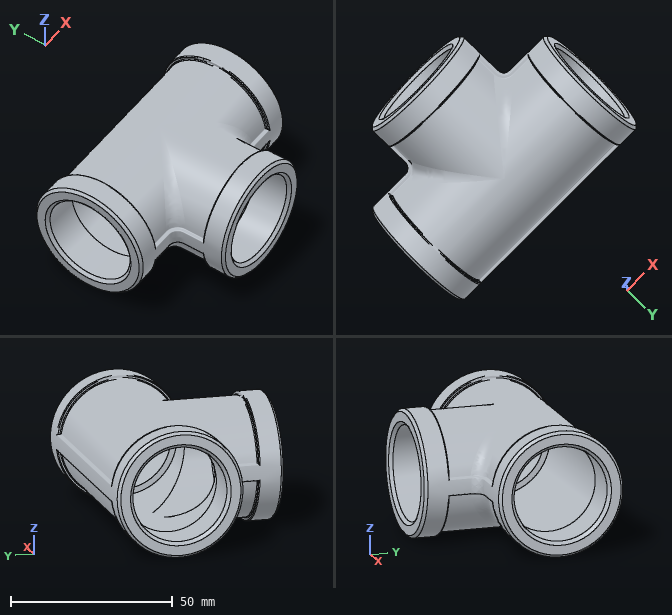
import cadquery as cq
import math

run_length = 77.0
branch_reach = 38.5

collar_diameter = 40.5
collar_length = 8.0
body_diameter = 38.0
end_chamfer = 0.9
rib_width = 5.2
rib_corner_radius = 3.15
step_fillet = 0.3

bore_diameter = 30.25
bore_depth = 12.9
bore_chamfer = 1.1
chamber_diameter = 34.2

collar_radius = collar_diameter / 2
body_radius = body_diameter / 2
half_run = run_length / 2
body_corner_radius = rib_corner_radius + collar_radius - body_radius

tolerance = 0.001


def tee(radius, end_gap=0.0):
    """Run and branch cylinders of one radius, stopping end_gap short of the three ends."""
    run = cq.Workplane("YZ").circle(radius).extrude(half_run - end_gap, both=True)
    branch = cq.Workplane("XZ").circle(radius).extrude(branch_reach - end_gap)
    return run.union(branch)


def rounded_tee(radius, corner_radius):
    """Tee with the curves where its two cylinders meet rounded."""
    blank = tee(radius)
    corners = [edge for edge in blank.edges().vals() if edge.geomType() == "ELLIPSE"]
    return blank.newObject(corners).fillet(corner_radius)


def raised_zone():
    """Space where the outside keeps the collar radius: three collars and the mid-plane rib."""
    zone = cq.Workplane("XY").box(run_length, 2 * branch_reach, rib_width)
    run_collar = cq.Workplane("XY").box(collar_length, collar_diameter, collar_diameter)
    for side in (-1, 1):
        zone = zone.union(run_collar.translate((side * (half_run - collar_length / 2), 0, 0)))
    branch_collar = cq.Workplane("XY").box(collar_diameter, collar_length, collar_diameter)
    return zone.union(branch_collar.translate((0, collar_length / 2 - branch_reach, 0)))


def near(value, target):
    """True when two lengths are equal to within the tolerance."""
    return abs(value - target) < tolerance


def on_step_wall(point):
    """True on the rib sides and on the inner ends of the collars."""
    on_rib_side = near(abs(point.z), rib_width / 2)
    on_run_collar = near(abs(point.x), half_run - collar_length)
    on_branch_collar = near(point.y, collar_length - branch_reach)
    return on_rib_side or on_run_collar or on_branch_collar


def on_cylinder(point, radius):
    """True on the run or the branch cylinder of the given radius."""
    return near(math.hypot(point.y, point.z), radius) or near(math.hypot(point.x, point.z), radius)


def fillet_steps(part, radius):
    """Round the step edges that lie at one radius, where collars and rib rise from the body."""
    edges = [
        edge
        for edge in part.edges().vals()
        if on_step_wall(edge.positionAt(0.5))
        and on_cylinder(edge.startPoint(), radius)
        and on_cylinder(edge.endPoint(), radius)
    ]
    return part.newObject(edges).fillet(step_fillet)


def open_ends(part):
    """The flat faces at the three open ends."""
    return part.faces("<X or >X or <Y")


def hollow(part):
    """Cut the bores and the chamber, then countersink the mouths of the bores."""
    bores = tee(bore_diameter / 2)
    chamber = tee(chamber_diameter / 2, end_gap=bore_depth)
    bored = part.cut(bores).cut(chamber)
    mouths = open_ends(bored).edges(cq.selectors.RadiusNthSelector(0))
    return mouths.chamfer(bore_chamfer)


body = rounded_tee(body_radius, body_corner_radius)
raised = rounded_tee(collar_radius, rib_corner_radius).intersect(raised_zone())
outside = body.union(raised)
outside = fillet_steps(outside, collar_radius)
outside = fillet_steps(outside, body_radius)
outside = open_ends(outside).edges("%CIRCLE").chamfer(end_chamfer)

result = hollow(outside)